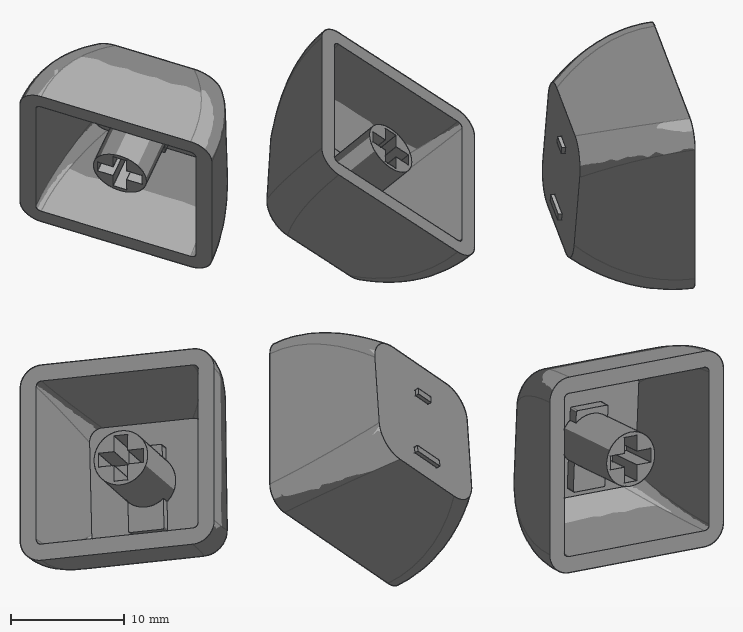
import cadquery as cq
import math


rim_width = 18.1
rim_corner = 2.0
roof_width = 12.6
roof_corner = 2.63
roof_height = 10.07
roof_tilt = 3.95
wall = 1.5
cavity_roof_corner = 1.2
section_count = 7

roof_inset = (rim_width - roof_width) / 2
side_radius = (roof_height**2 + roof_inset**2) / (2 * roof_inset)

bar_depth = 0.65
bar_rise = 0.35
upper_bar_width = 1.7
upper_bar_place = 2.63
lower_bar_width = 3.0
lower_bar_place = -4.13

pad_margin = 0.15
pad_thickness = 1.0

stem_diameter = 5.0
stem_start = 1.0
cross_span = 4.2
cross_width = 1.27
cross_depth = 4.0


def inward_plane(height, tilt):
    """Plane at a height above the rim, facing the rim, with its Y axis up the slope."""
    angle = math.radians(tilt)
    normal = (0, -math.cos(angle), -math.sin(angle))
    return cq.Plane(origin=(0, height, 0), xDir=(1, 0, 0), normal=normal)


def arc_inset(radius, height):
    """How far a side has curved inwards at a height above the rim."""
    return radius - math.sqrt(radius**2 - height**2)


def domed_block(base_width, base_corner, top_corner, height, radius):
    """Solid with arched sides, from the rim up to a tilted roof."""
    full_inset = arc_inset(radius, height)
    sections = []
    for i in range(section_count):
        part = i / (section_count - 1)
        inset = arc_inset(radius, part * height)
        width = base_width - 2 * inset
        corner = base_corner + (top_corner - base_corner) * inset / full_inset
        plane = inward_plane(part * height, part * roof_tilt)
        square = cq.Workplane(plane).rect(width, width).val()
        sections.append(square.fillet2D(corner, square.Vertices()))
    return cq.Workplane(cq.Solid.makeLoft(sections))


ceiling_height = roof_height - wall / math.cos(math.radians(roof_tilt))
ceiling_plane = inward_plane(ceiling_height, roof_tilt)


def make_bars():
    """Both legend bars, from the ceiling out through the roof."""
    length = wall + bar_rise
    bars = cq.Workplane()
    for width, place in ((upper_bar_width, upper_bar_place), (lower_bar_width, lower_bar_place)):
        outline = cq.Workplane(ceiling_plane).center(0, place).rect(width, bar_depth)
        bars = bars.add(outline.extrude(-length))
    return bars


def make_shell():
    """Hollow keycap with a hole through the roof for each legend bar."""
    outside = domed_block(rim_width, rim_corner, roof_corner, roof_height, side_radius)
    cavity = domed_block(
        rim_width - 2 * wall, rim_corner - wall, cavity_roof_corner, ceiling_height, side_radius - wall
    )
    shell = outside.cut(cavity)
    for bar in make_bars().vals():
        shell = shell.cut(cq.Workplane(bar))
    return shell


def make_pad():
    """Plate under the ceiling that frames both bars and has rounded corners."""
    top = upper_bar_place + bar_depth / 2 + pad_margin
    bottom = lower_bar_place - bar_depth / 2 - pad_margin
    width = lower_bar_width + 2 * pad_margin
    return (
        cq.Workplane(ceiling_plane)
        .center(0, (top + bottom) / 2)
        .rect(width, top - bottom)
        .extrude(pad_thickness)
        .edges(cq.selectors.ParallelDirSelector(ceiling_plane.zDir))
        .fillet(pad_margin)
    )


def make_stem():
    """Round post from its free end to the tilted ceiling, with a cross socket."""
    start = cq.Workplane("XZ", origin=(0, stem_start, 0))
    post = start.circle(stem_diameter / 2).extrude(-roof_height)
    above_ceiling = cq.Workplane(ceiling_plane).rect(rim_width, rim_width).extrude(-roof_height)
    socket = (
        start.rect(cross_span, cross_width).extrude(-cross_depth)
        .union(start.rect(cross_width, cross_span).extrude(-cross_depth))
    )
    return post.cut(above_ceiling).cut(socket)


def make_insert():
    """Stem, pad and bars as one solid."""
    insert = make_stem().union(make_pad())
    for bar in make_bars().vals():
        insert = insert.union(cq.Workplane(bar))
    return insert


shell = make_shell()
insert = make_insert()
result = cq.Compound.makeCompound([shell.val(), insert.val()])